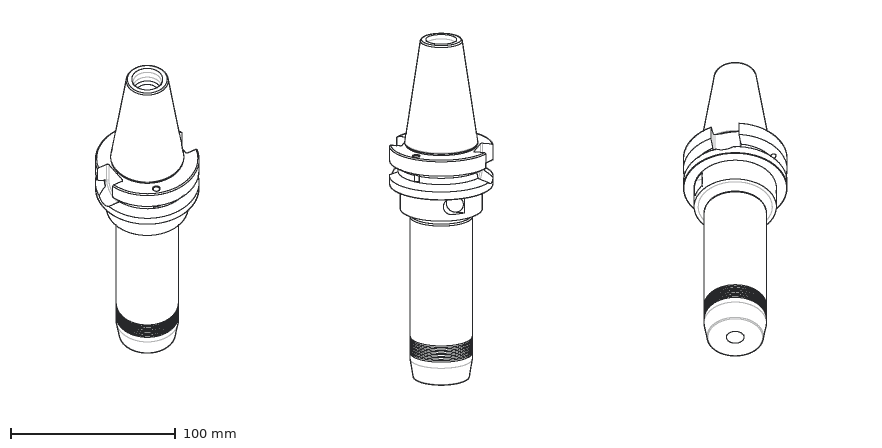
import cadquery as cq
import math

taper_length = 65.4
nose_z = -150.0

taper_rate = 7 / 24
gauge_radius = 22.225
taper_tip_radius = gauge_radius - taper_length * taper_rate / 2
tip_chamfer = 0.6
tip_chamfer_height = 1.0
relief_radius = 21.6
gauge_band_z = -0.7

flange_radius = 31.5
flange_top_z = -1.7
flange_chamfer = 0.8
flange_lower_chamfer = 0.3
groove_radius = 26.25
groove_center_z = -16.7
groove_floor_width = 4.0
groove_flank_height = (flange_radius - groove_radius) * math.tan(math.radians(30))
groove_top_z = groove_center_z + groove_floor_width / 2
groove_bottom_z = groove_center_z - groove_floor_width / 2
rim_bottom_z = groove_top_z + groove_flank_height
groove_lower_z = groove_bottom_z - groove_flank_height
flange_bottom_z = -27.0

collar_radius = 25.0
collar_bottom_z = -42.5
neck_radius = 18.5
neck_fillet = 4.0
neck_flare_height = 1.1

body_radius = 19.0
nose_cone_z = -138.4
nose_radius = 17.2
nose_fillet = 0.6

ring_count = 6
ring_pitch = 1.88
ring_width = 1.0
ring_depth = 0.35
first_ring_z = -124.1

slot_width = 17.4
slot_floor = 22.6
slot_bottom_z = -23.6
slot_floor_fillet = 1.0

mouth_radius = 9.4
mouth_depth = 2.5
pilot_radius = 8.6
pilot_depth = 6.6
lead_in_radius = 8.4
lead_in_depth = 9.6
thread_radius = 6.9
thread_depth = 30.0
bore_radius = 5.3

coolant_radius = 1.9
coolant_chamfer = 0.4
coolant_circle_radius = 26.8
coolant_angle = 160.0
coolant_bottom_z = groove_bottom_z

pocket_radius = 5.3
pocket_y = -12.8
pocket_z = -33.3
pocket_floor_x = -16.5
drill_point_angle = 118.0


def turned_body():
    """Revolve the outer profile about Z."""
    neck_top_radius = neck_radius + neck_fillet
    neck_arc_z = collar_bottom_z - neck_fillet
    arc_offset = neck_fillet * math.sqrt(0.5)
    shoulder_radius = taper_tip_radius + tip_chamfer_height * taper_rate / 2
    nose_offset = nose_fillet * math.sqrt(0.5)
    profile = (
        cq.Workplane("XZ")
        .moveTo(0, taper_length)
        .lineTo(taper_tip_radius - tip_chamfer, taper_length)
        .lineTo(shoulder_radius, taper_length - tip_chamfer_height)
        .lineTo(gauge_radius, 0)
        .lineTo(gauge_radius, gauge_band_z)
        .lineTo(relief_radius, gauge_band_z)
        .lineTo(relief_radius, flange_top_z)
        .lineTo(flange_radius - flange_chamfer, flange_top_z)
        .lineTo(flange_radius, flange_top_z - flange_chamfer)
        .lineTo(flange_radius, rim_bottom_z)
        .lineTo(groove_radius, groove_top_z)
        .lineTo(groove_radius, groove_bottom_z)
        .lineTo(flange_radius, groove_lower_z)
        .lineTo(flange_radius, flange_bottom_z + flange_lower_chamfer)
        .lineTo(flange_radius - flange_lower_chamfer, flange_bottom_z)
        .lineTo(collar_radius, flange_bottom_z)
        .lineTo(collar_radius, collar_bottom_z)
        .lineTo(neck_top_radius, collar_bottom_z)
        .threePointArc(
            (neck_top_radius - arc_offset, neck_arc_z + arc_offset),
            (neck_radius, neck_arc_z),
        )
        .lineTo(body_radius, neck_arc_z - neck_flare_height)
        .lineTo(body_radius, nose_cone_z)
        .lineTo(nose_radius, nose_z + nose_fillet)
        .threePointArc(
            (nose_radius - nose_fillet + nose_offset, nose_z + nose_fillet - nose_offset),
            (nose_radius - nose_fillet, nose_z),
        )
        .lineTo(0, nose_z)
        .close()
    )
    return profile.revolve(360, (0, 0), (0, 1))


def bore():
    """Stepped bore along Z, open at both ends."""
    return (
        cq.Workplane("XZ")
        .moveTo(0, taper_length)
        .lineTo(mouth_radius, taper_length)
        .lineTo(pilot_radius, taper_length - mouth_depth)
        .lineTo(pilot_radius, taper_length - pilot_depth)
        .lineTo(lead_in_radius, taper_length - lead_in_depth)
        .lineTo(thread_radius, taper_length - lead_in_depth - (lead_in_radius - thread_radius))
        .lineTo(thread_radius, taper_length - thread_depth)
        .lineTo(bore_radius, taper_length - thread_depth - (thread_radius - bore_radius))
        .lineTo(bore_radius, nose_z)
        .lineTo(0, nose_z)
        .close()
        .revolve(360, (0, 0), (0, 1))
    )


def ring_groove(top_z):
    """Round-bottomed ring cut into the body surface."""
    return (
        cq.Workplane("XZ")
        .moveTo(body_radius, top_z)
        .threePointArc(
            (body_radius - ring_depth, top_z - ring_width / 2),
            (body_radius, top_z - ring_width),
        )
        .close()
        .revolve(360, (0, 0), (0, 1))
    )


def key_slot():
    """Round-ended slot on the -Y side, with filleted floor corners."""
    half = slot_width / 2
    arc_center_z = slot_bottom_z + half
    return (
        cq.Workplane("XZ", origin=(0, -slot_floor, 0))
        .moveTo(-half, 0)
        .lineTo(half, 0)
        .lineTo(half, arc_center_z)
        .threePointArc((0, slot_bottom_z), (-half, arc_center_z))
        .close()
        .extrude(flange_radius)
        .faces(">Y").edges("not(>Z)")
        .fillet(slot_floor_fillet)
    )


def coolant_hole(angle):
    """Hole from the flange face down beside the gripper groove."""
    return (
        cq.Workplane("XY", origin=(0, 0, coolant_bottom_z))
        .center(
            coolant_circle_radius * math.cos(math.radians(angle)),
            coolant_circle_radius * math.sin(math.radians(angle)),
        )
        .circle(coolant_radius)
        .extrude(flange_top_z - coolant_bottom_z)
        .faces(">Z")
        .workplane()
        .circle(coolant_radius + coolant_chamfer)
        .workplane(offset=-coolant_chamfer)
        .circle(coolant_radius)
        .loft(combine=True)
    )


def side_pocket():
    """Slot in the -X side of the collar, open toward -Y, with a drill point in its floor."""
    reach = collar_radius + pocket_floor_x
    run_out = collar_radius + pocket_y
    round_end = (
        cq.Workplane("YZ", origin=(pocket_floor_x, 0, 0))
        .center(pocket_y, pocket_z)
        .circle(pocket_radius)
        .extrude(-reach)
    )
    open_end = (
        cq.Workplane("YZ", origin=(pocket_floor_x, 0, 0))
        .center(pocket_y - run_out / 2, pocket_z)
        .rect(run_out, 2 * pocket_radius)
        .extrude(-reach)
    )
    point_depth = pocket_radius / math.tan(math.radians(drill_point_angle / 2))
    point = cq.Workplane(
        cq.Solid.makeCone(
            pocket_radius,
            0,
            point_depth,
            cq.Vector(pocket_floor_x, pocket_y, pocket_z),
            cq.Vector(1, 0, 0),
        )
    )
    return round_end.union(open_end).union(point)


result = turned_body().cut(bore())
for ring in range(ring_count):
    result = result.cut(ring_groove(first_ring_z - ring * ring_pitch))
for turn in (0, 180):
    axis = ((0, 0, 0), (0, 0, 1), turn)
    result = result.cut(key_slot().rotate(*axis))
    result = result.cut(coolant_hole(coolant_angle + turn))
result = result.cut(side_pocket())